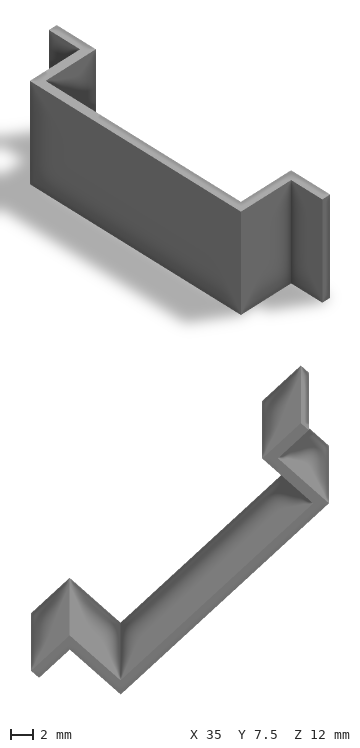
import cadquery as cq

length = 35.0
depth = 7.5
height = 12.0
wall = 1.0
channel_width = 27.02

flange_end = length / 2
wall_outside = channel_width / 2
wall_inside = wall_outside - wall
front = -depth / 2
back = depth / 2

right_half = [
    (wall_outside, front),
    (wall_outside, back - wall),
    (flange_end, back - wall),
    (flange_end, back),
    (wall_inside, back),
    (wall_inside, front + wall),
]
left_half = [(-x, y) for x, y in reversed(right_half)]

result = (
    cq.Workplane("XY")
    .workplane(offset=-height / 2)
    .polyline(right_half + left_half)
    .close()
    .extrude(height)
)